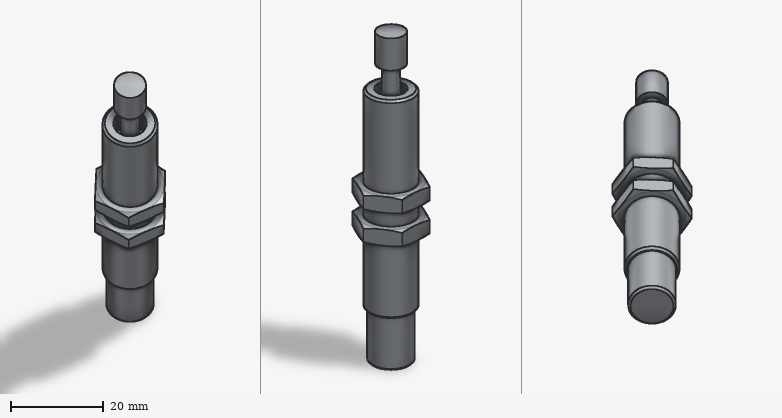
import cadquery as cq
import math

TOTAL_HEIGHT = 80.05
BODY_DIAMETER = 12.0
BODY_TOP = 66.0
BODY_CHAMFER = 0.6
TAIL_DIAMETER = 10.4
TAIL_LENGTH = 13.0
TAIL_CHAMFER = 0.6

ROD_DIAMETER = 4.0
HEAD_DIAMETER = 7.0
HEAD_LENGTH = 8.0
HEAD_CROWN = 0.2
BORE_DIAMETER = 7.2
HEAD_BOTTOM = TOTAL_HEIGHT - HEAD_LENGTH
BORE_DEPTH = HEAD_BOTTOM - BODY_TOP
BORE_FLOOR = BODY_TOP - BORE_DEPTH

NUT_ACROSS_FLATS = 15.0
NUT_ACROSS_CORNERS = NUT_ACROSS_FLATS / math.cos(math.radians(30))
NUT_THICKNESS = 4.0
NUT_FACE_DIAMETER = 14.65
NUT_CHAMFER_ANGLE = 17.0
NUT_PITCH = 8.0
LOWER_NUT_BOTTOM = 31.45
NUT_COUNT = 2


def cylinder(diameter, bottom, top):
    """Solid cylinder on the Z axis between two heights."""
    return cq.Workplane("XY").workplane(offset=bottom).circle(diameter / 2).extrude(top - bottom)


def make_striker_head():
    """Striker head whose upper face rises as a very shallow cone to a point."""
    radius = HEAD_DIAMETER / 2
    return (
        cq.Workplane("XZ")
        .moveTo(0, HEAD_BOTTOM)
        .lineTo(radius, HEAD_BOTTOM)
        .lineTo(radius, TOTAL_HEIGHT - HEAD_CROWN)
        .lineTo(0, TOTAL_HEIGHT)
        .close()
        .revolve(360, (0, 0, 0), (0, 1, 0))
    )


def make_absorber():
    """Stepped body with an open bore and the plunger standing on the bore floor."""
    barrel = cylinder(BODY_DIAMETER, TAIL_LENGTH, BODY_TOP).edges().chamfer(BODY_CHAMFER)
    tail = cylinder(TAIL_DIAMETER, 0, TAIL_LENGTH).faces("<Z").edges().chamfer(TAIL_CHAMFER)
    bore = cylinder(BORE_DIAMETER, BORE_FLOOR, BODY_TOP)
    rod = cylinder(ROD_DIAMETER, BORE_FLOOR, HEAD_BOTTOM)
    head = make_striker_head()
    return barrel.union(tail).cut(bore).union(rod).union(head)


def make_nut(bottom):
    """Hexagonal nut with corners on the Y axis, beveled conically on both faces."""
    hexagon = (
        cq.Workplane("XY")
        .polygon(6, NUT_ACROSS_CORNERS)
        .extrude(NUT_THICKNESS)
        .rotate((0, 0, 0), (0, 0, 1), 90)
    )
    face_radius = NUT_FACE_DIAMETER / 2
    corner_radius = NUT_ACROSS_CORNERS / 2
    bevel_drop = (corner_radius - face_radius) * math.tan(math.radians(NUT_CHAMFER_ANGLE))
    bevel_envelope = (
        cq.Workplane("XZ")
        .moveTo(0, 0)
        .lineTo(face_radius, 0)
        .lineTo(corner_radius, bevel_drop)
        .lineTo(corner_radius, NUT_THICKNESS - bevel_drop)
        .lineTo(face_radius, NUT_THICKNESS)
        .lineTo(0, NUT_THICKNESS)
        .close()
        .revolve(360, (0, 0, 0), (0, 1, 0))
    )
    opening = cylinder(BODY_DIAMETER, 0, NUT_THICKNESS)
    return hexagon.intersect(bevel_envelope).cut(opening).translate((0, 0, bottom))


absorber = make_absorber()
nuts = [make_nut(LOWER_NUT_BOTTOM + index * NUT_PITCH) for index in range(NUT_COUNT)]

result = cq.Compound.makeCompound([absorber.val(), *[nut.val() for nut in nuts]])